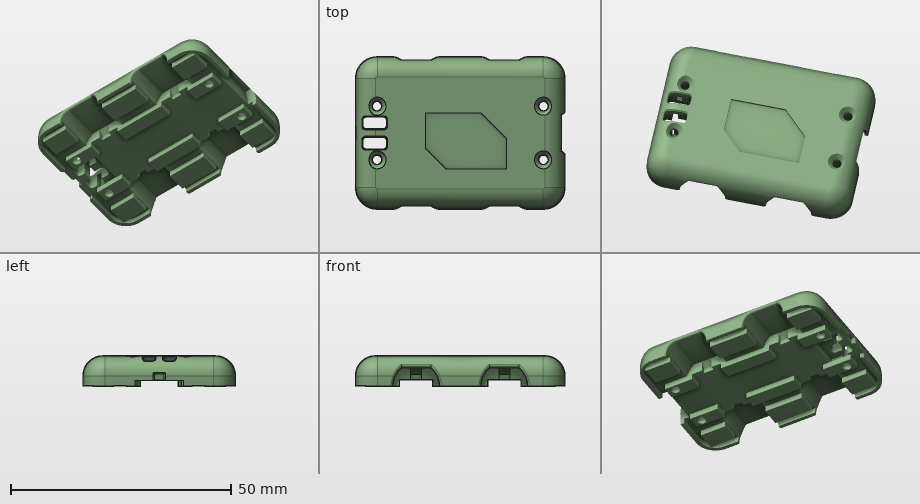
import cadquery as cq

LENGTH = 47.65
WIDTH = 34.69
HEIGHT = 6.95
RIM_Z = 0.12
CORNER_RADIUS = 5.0
TOP_FILLET = 4.6
HALF_LENGTH = LENGTH / 2
HALF_WIDTH = WIDTH / 2

RIM_THICKNESS = 0.9
CEILING_Z = 1.45
LEDGE_INSET = 2.25
LEDGE_INNER_Y = 10.4
BLOCK_INNER_Y = 4.27
BLOCK_OUTER_Y = 7.45
BLOCK_END_X = 20.9
BLOCK_GAP = 7.5
LEDGE_END_X = HALF_LENGTH - LEDGE_INSET
LEDGE_OUTER_Y = HALF_WIDTH - LEDGE_INSET

ARCH_X = 10.0
ARCH_FOOT = 5.25
ARCH_SHOULDER = 4.72
ARCH_SHOULDER_Z = 2.4
ARCH_CROWN = 3.3
ARCH_Z = 4.2
ARCH_DEPTH = HALF_WIDTH - BLOCK_OUTER_Y
ARCH_ROUNDING = 0.47
LATCH_WIDTH = 2.5
LATCH_TOP_Z = 4.2
LATCH_BACK_Z = 2.7
LATCH_DEPTH = 1.0

PLUG_DEPTH = 2.25
PLUG_HALF_WIDTH = 5.0
PLUG_CROWN = 4.15
PLUG_WALL_Z = 2.35
PLUG_Z = 4.95
TAB_HALF_WIDTH = 5.05
TAB_Z = 1.28
TAB_CHAMFER = 0.42
RECESS_WIDTH = 2.1
RECESS_Z = 2.85
RECESS_DEPTH = 0.8
RECESS_CHAMFER = 0.35

SCREW_X = 18.92
SCREW_Y = 6.09
SCREW_DIAMETER = 2.1
SINK_DIAMETER = 4.1
SINK_ANGLE = 90
SLOT_X = -19.45
SLOT_Y = 2.3
SLOT_LENGTH = 5.35
SLOT_WIDTH = 2.6
SLOT_RADIUS = 0.7
SLOT_CHAMFER = 0.3
CHANNEL_MIN_X = -20.5
CHANNEL_WIDTH = 1.4
CHANNEL_HALF_LENGTH = 5.2
CHANNEL_TOP_Z = 5.2
LAMP_WIDTH = 5.0
LAMP_TOP_Z = 3.0
BADGE_DEPTH = 0.6
BADGE_LEFT = -7.9
BADGE_RIGHT = 10.55
BADGE_FRONT = -8.2
BADGE_BACK = 4.5
BADGE_FRONT_CUT = 4.7
BADGE_BACK_CUT = 5.8

PICK_MARGIN = 0.1
ARCH_PICK_REACH = 1.1
SLOT_PICK_REACH = 2.5


def box(x_min, x_max, y_min, y_max, z_min, z_max):
    size = (x_max - x_min, y_max - y_min, z_max - z_min)
    return cq.Workplane("XY").box(*size, centered=False).translate((x_min, y_min, z_min))


def rounded_block(inset, z_min, z_max):
    """Plan outline of the shell moved inwards by `inset`."""
    return (
        cq.Workplane("XY", origin=(0, 0, z_min))
        .rect(LENGTH - 2 * inset, WIDTH - 2 * inset)
        .extrude(z_max - z_min)
        .edges("|Z")
        .fillet(CORNER_RADIUS - inset)
    )


def bar_with_gaps(end_x, near_y, far_y, gap_width):
    """Bar along X on the +Y side of the part, broken below each arch."""
    bar = box(-end_x, end_x, near_y, far_y, 0, CEILING_Z)
    for x in (-ARCH_X, ARCH_X):
        bar = bar.cut(box(x - gap_width / 2, x + gap_width / 2, near_y, far_y, 0, CEILING_Z))
    return bar


def arch_cutter(x):
    """Arched opening in the -Y wall with a flat back."""
    return (
        cq.Workplane("XZ", origin=(x, -HALF_WIDTH + ARCH_DEPTH, 0))
        .moveTo(-ARCH_FOOT, 0)
        .threePointArc((-ARCH_SHOULDER, ARCH_SHOULDER_Z), (-ARCH_CROWN, ARCH_Z))
        .lineTo(ARCH_CROWN, ARCH_Z)
        .threePointArc((ARCH_SHOULDER, ARCH_SHOULDER_Z), (ARCH_FOOT, 0))
        .close()
        .extrude(ARCH_DEPTH)
    )


def latch_cutter(x):
    """Latch pocket in the back of a -Y arch, with a ceiling that slopes down inwards."""
    face_y = -HALF_WIDTH + ARCH_DEPTH
    back_y = face_y + LATCH_DEPTH
    return (
        cq.Workplane("YZ", origin=(x - LATCH_WIDTH / 2, 0, 0))
        .polyline([(face_y, 0), (face_y, LATCH_TOP_Z), (back_y, LATCH_BACK_Z), (back_y, 0)])
        .close()
        .extrude(LATCH_WIDTH)
    )


def plug_cutter():
    """Opening in the +X wall with sloping upper flanks."""
    return (
        cq.Workplane("YZ", origin=(HALF_LENGTH - PLUG_DEPTH, 0, 0))
        .moveTo(-PLUG_HALF_WIDTH, 0)
        .lineTo(-PLUG_HALF_WIDTH, PLUG_WALL_Z)
        .lineTo(-PLUG_CROWN, PLUG_Z)
        .lineTo(PLUG_CROWN, PLUG_Z)
        .lineTo(PLUG_HALF_WIDTH, PLUG_WALL_Z)
        .lineTo(PLUG_HALF_WIDTH, 0)
        .close()
        .extrude(PLUG_DEPTH)
    )


def tab_cutter():
    """Low notch in the -X wall, flared towards the outside."""
    inner = TAB_HALF_WIDTH
    outer = TAB_HALF_WIDTH + TAB_CHAMFER
    wall_x = -HALF_LENGTH
    flare_x = wall_x + TAB_CHAMFER
    back_x = wall_x + RIM_THICKNESS
    return (
        cq.Workplane("XY")
        .polyline([
            (wall_x, -outer), (flare_x, -inner), (back_x, -inner),
            (back_x, inner), (flare_x, inner), (wall_x, outer),
        ])
        .close()
        .extrude(TAB_Z)
    )


def recess_cutter():
    """Blind recess in the middle of the -X wall with a bevelled mouth."""
    half = RECESS_WIDTH / 2
    wide = half + RECESS_CHAMFER
    pocket = box(-HALF_LENGTH, -HALF_LENGTH + RECESS_DEPTH, -half, half, TAB_Z, RECESS_Z)
    mouth = (
        cq.Workplane("YZ", origin=(-HALF_LENGTH, 0, 0))
        .polyline([(-wide, TAB_Z), (-wide, RECESS_Z + RECESS_CHAMFER),
                   (wide, RECESS_Z + RECESS_CHAMFER), (wide, TAB_Z)])
        .close()
        .workplane(offset=RECESS_CHAMFER)
        .polyline([(-half, TAB_Z), (-half, RECESS_Z), (half, RECESS_Z), (half, TAB_Z)])
        .close()
        .loft(ruled=True)
    )
    return pocket.union(mouth)


def slot_cutter(y):
    return (
        cq.Workplane("XY", origin=(SLOT_X, y, 0))
        .rect(SLOT_LENGTH, SLOT_WIDTH)
        .extrude(HEIGHT)
        .edges("|Z")
        .fillet(SLOT_RADIUS)
    )


def badge_cutter():
    return (
        cq.Workplane("XY", origin=(0, 0, HEIGHT - BADGE_DEPTH))
        .polyline([
            (BADGE_LEFT, BADGE_BACK),
            (BADGE_RIGHT - BADGE_BACK_CUT, BADGE_BACK),
            (BADGE_RIGHT, BADGE_BACK - BADGE_BACK_CUT),
            (BADGE_RIGHT, BADGE_FRONT),
            (BADGE_LEFT + BADGE_FRONT_CUT, BADGE_FRONT),
            (BADGE_LEFT, BADGE_FRONT + BADGE_FRONT_CUT),
        ])
        .close()
        .extrude(BADGE_DEPTH)
    )


def with_mirror(body):
    """The body together with its copy on the other side of the XZ plane."""
    return body.union(body.mirror("XZ"))


def edges_in_box(body, low, high):
    return body.edges(cq.selectors.BoxSelector(low, high))


def round_arch_mouth(body, x, side):
    """Round the outer edges of one arch; `side` is -1 or 1 for the -Y or +Y wall."""
    half = ARCH_FOOT + PICK_MARGIN
    near_y, far_y = sorted((side * (HALF_WIDTH - ARCH_PICK_REACH), side * (HALF_WIDTH + PICK_MARGIN)))
    low = (x - half, near_y, RIM_Z + PICK_MARGIN)
    high = (x + half, far_y, HEIGHT)
    return edges_in_box(body, low, high).fillet(ARCH_ROUNDING)


def bevel_slot_mouth(body, y):
    half_x = SLOT_LENGTH / 2 + PICK_MARGIN
    half_y = SLOT_WIDTH / 2 + PICK_MARGIN
    low = (SLOT_X - half_x, y - half_y, HEIGHT - SLOT_PICK_REACH)
    high = (SLOT_X + half_x, y + half_y, HEIGHT + PICK_MARGIN)
    return edges_in_box(body, low, high).chamfer(SLOT_CHAMFER)


part = rounded_block(0, RIM_Z, HEIGHT).faces(">Z").edges().fillet(TOP_FILLET)
for arch_x in (-ARCH_X, ARCH_X):
    part = part.cut(with_mirror(arch_cutter(arch_x)))
    for wall_side in (-1, 1):
        part = round_arch_mouth(part, arch_x, wall_side)

for slot_y in (-SLOT_Y, SLOT_Y):
    part = bevel_slot_mouth(part.cut(slot_cutter(slot_y)), slot_y)

part = part.cut(rounded_block(RIM_THICKNESS, 0, CEILING_Z))
part = part.union(with_mirror(bar_with_gaps(LEDGE_END_X, LEDGE_INNER_Y, LEDGE_OUTER_Y, 2 * ARCH_FOOT)))
part = part.union(with_mirror(bar_with_gaps(BLOCK_END_X, BLOCK_INNER_Y, BLOCK_OUTER_Y, BLOCK_GAP)))
for arch_x in (-ARCH_X, ARCH_X):
    part = part.cut(with_mirror(latch_cutter(arch_x)))
for width, top_z in ((CHANNEL_WIDTH, CHANNEL_TOP_Z), (LAMP_WIDTH, LAMP_TOP_Z)):
    pocket = box(
        CHANNEL_MIN_X, CHANNEL_MIN_X + width,
        -CHANNEL_HALF_LENGTH, CHANNEL_HALF_LENGTH,
        CEILING_Z, top_z,
    )
    part = part.cut(pocket)

part = part.cut(plug_cutter()).cut(tab_cutter()).cut(recess_cutter())

part = part.cut(badge_cutter())
part = (
    part.faces(">Z")
    .workplane(origin=(0, 0, HEIGHT))
    .rect(2 * SCREW_X, 2 * SCREW_Y, forConstruction=True)
    .vertices()
    .cskHole(SCREW_DIAMETER, SINK_DIAMETER, SINK_ANGLE)
)

result = part